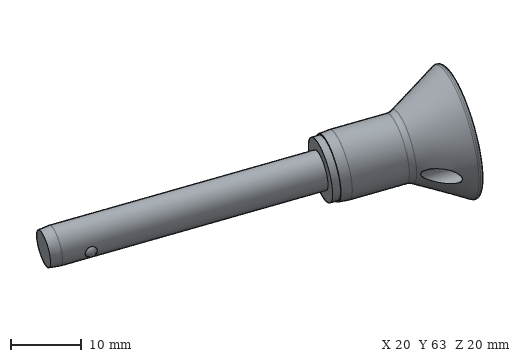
import math

import cadquery as cq


shank_radius = 3.0
shank_length = 42.0
tip_radius = 2.8
tip_taper_length = 1.75

handle_length = 21.0
boss_radius = 4.85
boss_length = 1.2
collar_radius = 5.05
collar_length = 1.65
body_radius = 5.2
head_radius = 10.0
flare_angle = math.radians(30)
rim_round = 0.5
neck_fillet = 2.0

lanyard_hole_diameter = 3.0
lanyard_hole_offset = 7.25

ball_radius = 1.0
ball_reach = 3.6
ball_tip_distance = 6.1


def arc_point(center, radius, angle):
    """Point on a circle in the (radius, Y) profile plane."""
    return (center[0] + radius * math.cos(angle), center[1] + radius * math.sin(angle))


def make_pin():
    """Revolve the half profile of shank and handle about the Y axis."""
    tip_y = -shank_length
    body_start_y = boss_length + collar_length

    rim_center = (head_radius - rim_round, handle_length - rim_round)
    flare_end = arc_point(rim_center, rim_round, -flare_angle)
    rim_middle = arc_point(rim_center, rim_round, -flare_angle / 2)
    rim_widest = arc_point(rim_center, rim_round, 0)
    rim_corner = arc_point(rim_center, rim_round, math.pi / 4)
    rim_top = arc_point(rim_center, rim_round, math.pi / 2)

    flare_foot_y = flare_end[1] - (flare_end[0] - body_radius) / math.tan(flare_angle)
    neck_start_y = flare_foot_y - neck_fillet * math.tan(flare_angle / 2)
    neck_center = (body_radius + neck_fillet, neck_start_y)
    neck_middle = arc_point(neck_center, neck_fillet, math.pi - flare_angle / 2)
    flare_start = arc_point(neck_center, neck_fillet, math.pi - flare_angle)

    profile = (
        cq.Workplane("XY")
        .moveTo(0, tip_y)
        .lineTo(tip_radius, tip_y)
        .lineTo(shank_radius, tip_y + tip_taper_length)
        .lineTo(shank_radius, 0)
        .lineTo(boss_radius, 0)
        .lineTo(boss_radius, boss_length)
        .lineTo(collar_radius, boss_length)
        .lineTo(body_radius, body_start_y)
        .lineTo(body_radius, neck_start_y)
        .threePointArc(neck_middle, flare_start)
        .lineTo(*flare_end)
        .threePointArc(rim_middle, rim_widest)
        .threePointArc(rim_corner, rim_top)
        .lineTo(0, handle_length)
        .close()
    )
    return profile.revolve(360, (0, 0, 0), (0, 1, 0))


def make_lanyard_hole():
    """Cylinder that starts at the shoulder plane and runs out through the head."""
    return (
        cq.Workplane("XZ")
        .center(lanyard_hole_offset, 0)
        .circle(lanyard_hole_diameter / 2)
        .extrude(-handle_length)
    )


def make_ball(turn):
    """Locking ball on the +X side, turned about the pin axis by an angle in degrees."""
    ball_center = (ball_reach - ball_radius, ball_tip_distance - shank_length, 0)
    ball = cq.Workplane("XY").sphere(ball_radius).translate(ball_center)
    return ball.rotate((0, 0, 0), (0, 1, 0), turn)


result = make_pin().cut(make_lanyard_hole())
for ball_turn in (0, 180):
    result = result.union(make_ball(ball_turn))